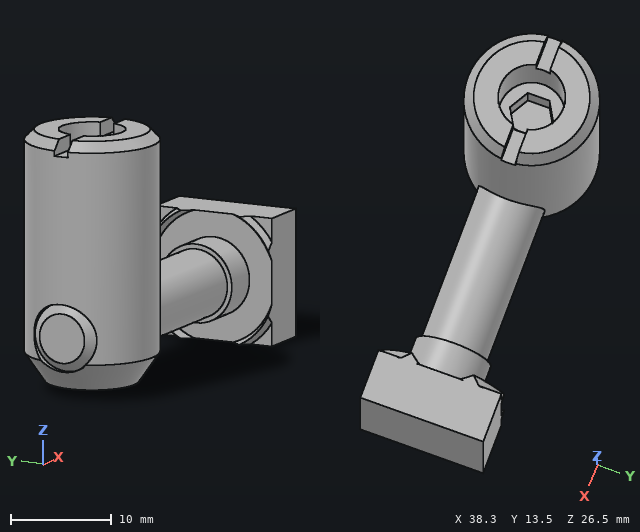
import cadquery as cq
import math


sleeve_radius = 13.5 / 2
sleeve_top = 20.0
sleeve_bottom = -5.47
top_chamfer = 1.0
taper_start = -2.5
taper_end_radius = 4.7
slot_width = 1.5
slot_depth = 1.53

overall_length = 38.25
shank_radius = 7.0 / 2
shank_end_inset = 0.23
shank_chamfer = 1.0
collar_diameter = 8.0
collar_length = 3.82
head_size = 13.0
head_thickness = 5.2
shank_start = -sleeve_radius + shank_end_inset
head_back = overall_length - sleeve_radius
head_front = head_back - head_thickness
collar_start = head_front - collar_length

ridge_radius = 7.25
ridge_height = 0.85
ridge_half_width = 0.42

screw_diameter = 6.65
screw_bottom = shank_radius
screw_length = 9.18
hex_flats = 3.98
hex_depth = 3.05
hex_corners = hex_flats / math.cos(math.radians(30))


def bar_along_x(radius, start, end):
    """Round bar on the bolt axis."""
    return cq.Workplane("YZ").workplane(offset=start).circle(radius).extrude(end - start)


def square_bar(start, end):
    """Bar with the square outline of the bolt head."""
    return cq.Workplane("YZ").workplane(offset=start).rect(head_size, head_size).extrude(end - start)


def make_sleeve():
    """Turned sleeve with a bolt hole across it, a screw bore and a slotted top."""
    profile = [
        (0, sleeve_bottom),
        (taper_end_radius, sleeve_bottom),
        (sleeve_radius, taper_start),
        (sleeve_radius, sleeve_top - top_chamfer),
        (sleeve_radius - top_chamfer, sleeve_top),
        (0, sleeve_top),
    ]
    body = cq.Workplane("XZ").polyline(profile).close().revolve(360, (0, 0, 0), (0, 1, 0))
    bolt_hole = bar_along_x(shank_radius, -2 * sleeve_radius, 2 * sleeve_radius)
    bore = cq.Workplane("XY").circle(screw_diameter / 2).extrude(sleeve_top)
    slot = (
        cq.Workplane("XY")
        .workplane(offset=sleeve_top - slot_depth)
        .rect(2 * sleeve_radius, slot_width)
        .extrude(slot_depth)
    )
    return body.cut(bolt_hole).cut(bore).cut(slot)


def make_head_ridge():
    """V-shaped ring standing on the head, trimmed to the square outline."""
    profile = [
        (head_front, ridge_radius - ridge_half_width),
        (head_front - ridge_height, ridge_radius),
        (head_front, ridge_radius + ridge_half_width),
    ]
    ring = cq.Workplane("XY").polyline(profile).close().revolve(360, (0, 0, 0), (1, 0, 0))
    return ring.intersect(square_bar(head_front - ridge_height, head_front))


def make_bolt():
    """Round shank with a chamfered end, a collar and a square ridged head."""
    shank = bar_along_x(shank_radius, shank_start, collar_start).faces("<X").chamfer(shank_chamfer)
    collar = bar_along_x(collar_diameter / 2, collar_start, head_front)
    head = square_bar(head_front, head_back)
    return shank.union(collar).union(head).union(make_head_ridge())


def make_set_screw():
    """Plain round screw with a hexagon socket whose corners point along Y."""
    body = (
        cq.Workplane("XY")
        .workplane(offset=screw_bottom)
        .circle(screw_diameter / 2)
        .extrude(screw_length)
    )
    socket = (
        cq.Workplane("XY")
        .polygon(6, hex_corners)
        .extrude(hex_depth)
        .rotate((0, 0, 0), (0, 0, 1), 90)
        .translate((0, 0, screw_bottom + screw_length - hex_depth))
    )
    return body.cut(socket)


sleeve = make_sleeve()
bolt = make_bolt()
set_screw = make_set_screw()

result = cq.Compound.makeCompound([body.solids().val() for body in (sleeve, bolt, set_screw)])